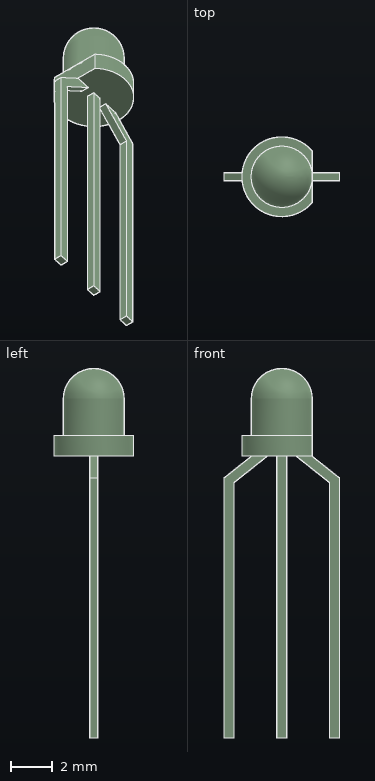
import cadquery as cq

overall_height = 17.8

lens_diameter = 2.95
flange_diameter = 3.85
flange_height = 1.0
body_height = 4.22
flat_distance = lens_diameter / 2

lead_pitch = 2.54
lead_width = 0.5
lead_thickness = 0.4
lead_length = overall_height - body_height
slant_root = 1.455
slant_root_width = 0.775
slant_drop = 1.06


def make_flange():
    """Round flange with one flat that marks the polarity."""
    disc = cq.Workplane("XY").circle(flange_diameter / 2).extrude(flange_height)
    keep_length = flange_diameter / 2 + flat_distance
    keep = cq.Workplane("XY").box(
        keep_length, flange_diameter, flange_height, centered=(False, True, False)
    ).translate((-flange_diameter / 2, 0, 0))
    return disc.intersect(keep)


def make_lens():
    """Cylinder with a hemispherical top, revolved about Z."""
    radius = lens_diameter / 2
    return (
        cq.Workplane("XZ")
        .lineTo(radius, 0)
        .lineTo(radius, body_height - radius)
        .radiusArc((0, body_height), -radius)
        .close()
        .revolve(360, (0, 0, 0), (0, 1, 0))
    )


def make_centre_lead():
    """Straight rectangular lead on the axis."""
    return cq.Workplane("XY").rect(lead_width, lead_thickness).extrude(-lead_length)


def make_side_lead(side):
    """Lead that slants outward below the flange and then runs straight down; side is +1 or -1."""
    inner = lead_pitch - lead_width / 2
    outer = lead_pitch + lead_width / 2
    inner_root = slant_root - slant_root_width
    slope = slant_drop / (outer - slant_root)
    outline = [
        (inner_root, 0),
        (slant_root, 0),
        (outer, -slant_drop),
        (outer, -lead_length),
        (inner, -lead_length),
        (inner, -slope * (inner - inner_root)),
    ]
    return (
        cq.Workplane("XZ")
        .polyline([(side * x, z) for x, z in outline])
        .close()
        .extrude(lead_thickness / 2, both=True)
    )


result = make_flange().union(make_lens()).union(make_centre_lead())
for side in (-1, 1):
    result = result.union(make_side_lead(side))